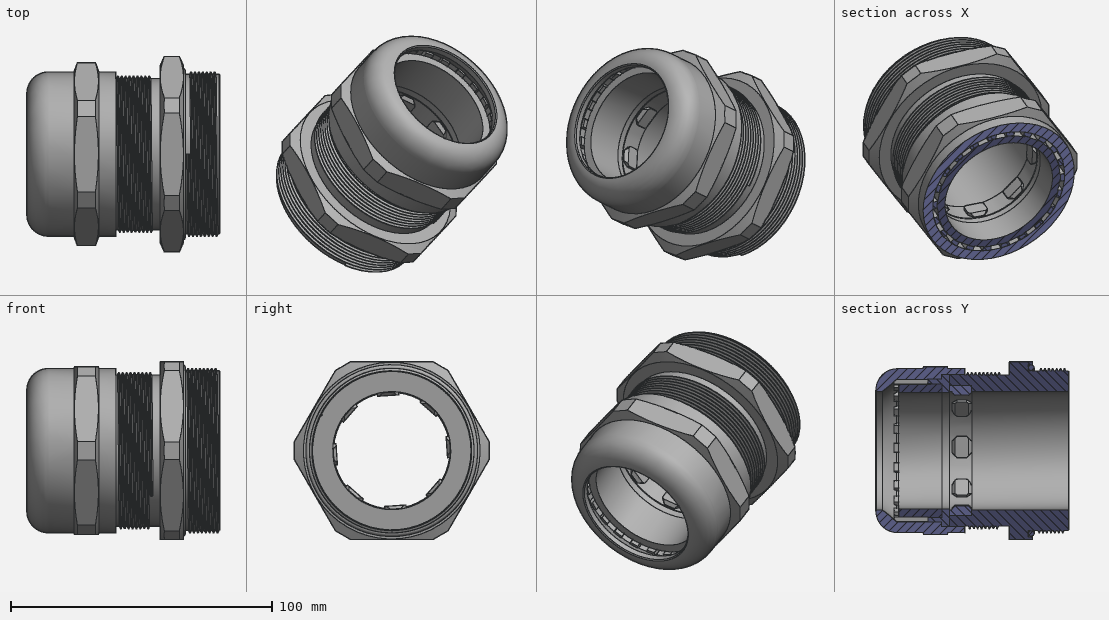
import cadquery as cq
import math


LIP_BEVEL_END = 0.4
LIP_END = 2.6
FINGER_TIP = 7.1
CAVITY_CONE_END = 8.0
SEAL_FRONT = 8.8
CAP_HEX_FRONT = 18.05
CAP_HEX_REAR = 27.65
SLOT_END = 20.0
SEAL_REAR = 25.3
BODY_FRONT = 28.3
CONTACT_FRONT = 29.1
CONTACT_REAR = 36.8
CAP_REAR = 34.1
BODY_HEX_FRONT = 51.0
BODY_HEX_REAR = 60.05
O_RING_REAR = 60.7
BODY_REAR = 73.88

DOME_RADIUS = 8.4
CAP_DIAMETER = 63.0
LIP_BORE = 45.29
CAGE_OUTER = 54.5
SEAL_OUTER = 51.0
SEAL_BORE = 44.44
BODY_BORE = 45.17
CONTACT_BAND_OUTER = 50.0
O_RING_SECTION = 2.3

CAP_HEX_FLATS = 64.2
CAP_HEX_CORNERS = 70.0
CAP_HEX_BEVEL = 1.3
BODY_HEX_FLATS = 68.0
BODY_HEX_CORNERS = 74.71
BODY_HEX_FACE_DIAMETER = 67.6
BODY_HEX_BEVEL = 1.6

PITCH = 1.5
CREST_WIDTH = PITCH / 6
FLANK_ANGLE = 26.0
THREAD_ROOT_OVERLAP = 0.1
CAP_THREAD_CORE = 57.96
CAP_THREAD_CREST = 59.8
CAP_THREAD_START = 34.87
CAP_THREAD_TURNS = 8.6
CAP_THREAD_START_ANGLE = 0.0
ENTRY_THREAD_CORE = 61.18
ENTRY_THREAD_CREST = 63.0
ENTRY_THREAD_START = 61.75
ENTRY_THREAD_TURNS = 7.5
ENTRY_THREAD_START_ANGLE = 90.0
ENTRY_CHAMFER = 0.3

FINGER_COUNT = 22
SLOT_WIDTH = 4.0
FIRST_SLOT_ANGLE = 10.5
CONTACT_COUNT = 8
CONTACT_TURN = 3.7
CONTACT_WIDTH = 8.2
CONTACT_INNER_RADIUS = 21.05
CONTACT_LEAD = 1.2
CONTACT_CORNER_CUT = 2.0
CONTACT_EDGE_HEIGHT = 0.3


def cylinder(diameter, front, rear):
    return cq.Workplane("YZ", origin=(front, 0, 0)).circle(diameter / 2).extrude(rear - front)


def tube(outer, inner, front, rear):
    return cylinder(outer, front, rear).cut(cylinder(inner, front, rear))


def revolve_about_x(outline):
    return outline.close().revolve(360, (0, 0, 0), (1, 0, 0))


def hexagon(flats, front, rear, turn):
    """Hexagonal prism; a turn of 30 puts two corners on the Y axis."""
    outline = cq.Workplane("YZ", origin=(front, 0, 0)).polygon(6, flats, circumscribed=True)
    prism = outline.extrude(rear - front)
    return prism.rotate((0, 0, 0), (1, 0, 0), turn)


def wrench_hexagon(flats, corners, face_diameter, bevel, front, rear):
    """Hexagon with flattened corners and conical bevels at both ends."""
    face_radius = face_diameter / 2
    corner_radius = corners / 2 / math.cos(math.radians(30))
    end_rise = (corner_radius - face_radius) * bevel / (corners / 2 - face_radius)
    bevels = revolve_about_x(
        cq.Workplane("XY")
        .moveTo(front, 0)
        .lineTo(front, face_radius)
        .lineTo(front + end_rise, corner_radius)
        .lineTo(rear - end_rise, corner_radius)
        .lineTo(rear, face_radius)
        .lineTo(rear, 0)
    )
    prism = hexagon(flats, front, rear, 30)
    corner_cut = hexagon(corners, front, rear, 0)
    return prism.intersect(corner_cut).intersect(bevels)


def thread_ridge(core, crest, start, turns, start_angle):
    """Right-handed helical ridge; start_angle is measured from +Y towards +Z."""
    root = core / 2 - THREAD_ROOT_OVERLAP
    tip = crest / 2
    half_crest = CREST_WIDTH / 2
    half_root = half_crest + (tip - root) * math.tan(math.radians(FLANK_ANGLE))
    path = cq.Wire.makeHelix(PITCH, PITCH * turns, core / 2)
    ridge = (
        cq.Workplane("XZ")
        .polyline([(root, -half_root), (tip, -half_crest), (tip, half_crest), (root, half_root)])
        .close()
        .sweep(cq.Workplane(path), isFrenet=True)
    )
    ridge = ridge.rotate((0, 0, 0), (0, 0, 1), 90).rotate((0, 0, 0), (0, 1, 0), 90)
    return ridge.rotate((0, 0, 0), (1, 0, 0), start_angle).translate((start, 0, 0))


def make_cap_nut():
    radius = CAP_DIAMETER / 2
    dome_end_radius = radius - DOME_RADIUS
    diagonal = DOME_RADIUS * math.sin(math.radians(45))
    shell = revolve_about_x(
        cq.Workplane("XY")
        .moveTo(0, dome_end_radius)
        .threePointArc((DOME_RADIUS - diagonal, dome_end_radius + diagonal), (DOME_RADIUS, radius))
        .lineTo(CAP_REAR, radius)
        .lineTo(CAP_REAR, CAP_THREAD_CORE / 2)
        .lineTo(SEAL_REAR, CAP_THREAD_CORE / 2)
        .lineTo(SEAL_REAR, CAGE_OUTER / 2)
        .lineTo(CAVITY_CONE_END, CAGE_OUTER / 2)
        .lineTo(LIP_END, LIP_BORE / 2)
        .lineTo(LIP_BEVEL_END, LIP_BORE / 2)
    )
    wrench_ring = wrench_hexagon(
        CAP_HEX_FLATS, CAP_HEX_CORNERS, CAP_DIAMETER, CAP_HEX_BEVEL, CAP_HEX_FRONT, CAP_HEX_REAR
    ).cut(cylinder(CAP_THREAD_CORE, CAP_HEX_FRONT, CAP_HEX_REAR))
    return shell.union(wrench_ring)


def make_cage():
    """Slotted fingers on a base ring; the finger tips lie against the cone inside the cap nut."""
    base = tube(CAP_THREAD_CORE, SEAL_BORE, SEAL_REAR, BODY_FRONT)
    tip_share = (FINGER_TIP - LIP_END) / (CAVITY_CONE_END - LIP_END)
    tip_outer_radius = (LIP_BORE + (CAGE_OUTER - LIP_BORE) * tip_share) / 2
    fingers = revolve_about_x(
        cq.Workplane("XY")
        .moveTo(FINGER_TIP, SEAL_OUTER / 2)
        .lineTo(FINGER_TIP, tip_outer_radius)
        .lineTo(CAVITY_CONE_END, CAGE_OUTER / 2)
        .lineTo(SEAL_REAR, CAGE_OUTER / 2)
        .lineTo(SEAL_REAR, SEAL_OUTER / 2)
    )
    slot = cq.Workplane("XY", origin=(FINGER_TIP, 0, 0)).box(
        SLOT_END - FINGER_TIP, CAGE_OUTER, SLOT_WIDTH, centered=(False, False, True)
    )
    for index in range(FINGER_COUNT):
        angle = FIRST_SLOT_ANGLE + index * 360 / FINGER_COUNT
        fingers = fingers.cut(slot.rotate((0, 0, 0), (1, 0, 0), angle))
    return base.union(fingers)


def make_seal():
    return tube(SEAL_OUTER, SEAL_BORE, SEAL_FRONT, SEAL_REAR)


def make_contact_ring():
    """Band seated in the front of the body, with spring pads that reach into the bore."""
    ring = tube(CONTACT_BAND_OUTER, BODY_BORE, BODY_FRONT, CONTACT_REAR)
    edge_radius = BODY_BORE / 2 - CONTACT_EDGE_HEIGHT
    seat = (CONTACT_BAND_OUTER + BODY_BORE) / 4
    pad_plan = (
        cq.Workplane("XZ")
        .center((CONTACT_FRONT + CONTACT_REAR) / 2, 0)
        .rect(CONTACT_REAR - CONTACT_FRONT, CONTACT_WIDTH)
        .extrude(-CONTACT_BAND_OUTER / 2)
        .edges("|Y")
        .chamfer(CONTACT_CORNER_CUT)
    )
    pad = (
        cq.Workplane("XY")
        .moveTo(CONTACT_FRONT, seat)
        .lineTo(CONTACT_FRONT, edge_radius)
        .lineTo(CONTACT_FRONT + CONTACT_LEAD, CONTACT_INNER_RADIUS)
        .lineTo(CONTACT_REAR - CONTACT_LEAD, CONTACT_INNER_RADIUS)
        .lineTo(CONTACT_REAR, edge_radius)
        .lineTo(CONTACT_REAR, seat)
        .close()
        .extrude(CONTACT_WIDTH / 2, both=True)
        .intersect(pad_plan)
    )
    for index in range(CONTACT_COUNT):
        angle = CONTACT_TURN + index * 360 / CONTACT_COUNT
        ring = ring.union(pad.rotate((0, 0, 0), (1, 0, 0), angle))
    return ring


def make_o_ring():
    """O-ring around the root of the entry thread, mostly sunk into the rear of the body hexagon."""
    section_radius = O_RING_SECTION / 2
    centre_radius = ENTRY_THREAD_CORE / 2 + section_radius
    centre = cq.Vector(O_RING_REAR - section_radius, 0, 0)
    return cq.Workplane(cq.Solid.makeTorus(centre_radius, section_radius, centre, cq.Vector(1, 0, 0)))


def make_body():
    barrel = cylinder(CAP_THREAD_CORE, BODY_FRONT, BODY_HEX_FRONT)
    flange = wrench_hexagon(
        BODY_HEX_FLATS,
        BODY_HEX_CORNERS,
        BODY_HEX_FACE_DIAMETER,
        BODY_HEX_BEVEL,
        BODY_HEX_FRONT,
        BODY_HEX_REAR,
    )
    entry = cylinder(ENTRY_THREAD_CORE, BODY_HEX_REAR, BODY_REAR).faces(">X").chamfer(ENTRY_CHAMFER)
    cap_thread = thread_ridge(
        CAP_THREAD_CORE, CAP_THREAD_CREST, CAP_THREAD_START, CAP_THREAD_TURNS, CAP_THREAD_START_ANGLE
    )
    entry_thread = thread_ridge(
        ENTRY_THREAD_CORE,
        ENTRY_THREAD_CREST,
        ENTRY_THREAD_START,
        ENTRY_THREAD_TURNS,
        ENTRY_THREAD_START_ANGLE,
    )
    threaded_entry = entry.union(entry_thread)
    body = barrel.union(cap_thread).union(flange).union(threaded_entry)
    bore = cylinder(BODY_BORE, BODY_FRONT, BODY_REAR)
    contact_seat = cylinder(CONTACT_BAND_OUTER, BODY_FRONT, CONTACT_REAR)
    groove_diameter = ENTRY_THREAD_CORE + 2 * O_RING_SECTION
    groove_front = O_RING_REAR - O_RING_SECTION
    o_ring_groove = tube(groove_diameter, ENTRY_THREAD_CORE, groove_front, BODY_HEX_REAR)
    return body.cut(bore.union(contact_seat)).cut(o_ring_groove)


cap_nut = make_cap_nut()
cage = make_cage()
seal = make_seal()
contact_ring = make_contact_ring()
o_ring = make_o_ring()
body = make_body()

result = cq.Compound.makeCompound(
    [
        cap_nut.solids().val(),
        cage.solids().val(),
        seal.solids().val(),
        contact_ring.solids().val(),
        o_ring.solids().val(),
        body.solids().val(),
    ]
)